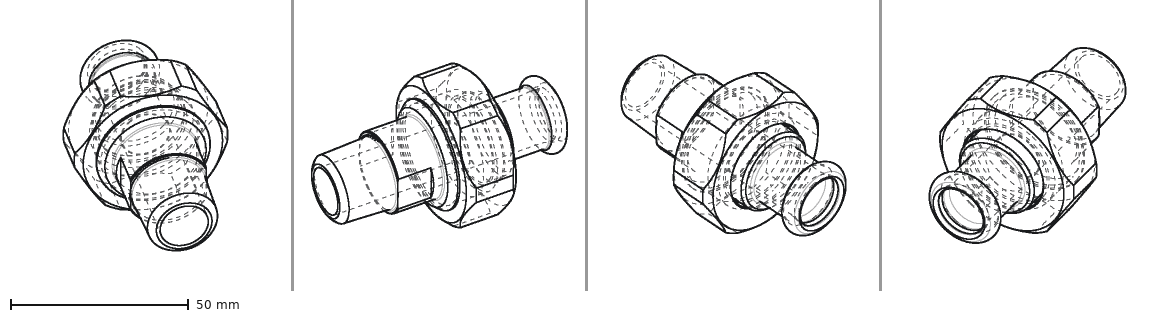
import cadquery as cq
import math

LENGTH = 73.0

NUT_START = 23.0
NUT_END = 39.05
NUT_FLATS = 41.0
NUT_CORNER_DIA = 44.7
NUT_CHAMFER = 2.05
NUT_HOLE_DIA = 26.5
NUT_HOLE_CHAMFER = 0.3
NUT_THREAD_DIA = 30.3
NUT_LIP = 3.3

JOINT_X = 30.65
TUBE_R = 18.3 / 2
BEAD_R = 11.45
BEAD_X = 3.15
BEAD_START = 0.8
BEAD_START_R = 9.85
BEAD_END = 5.55
BEAD_END_R = 9.6
BEAD_FILLET_START = 5.9
BEAD_FILLET = 0.5
COLLAR_X = 18.8
COLLAR_R = 25.0 / 2
COLLAR_CHAMFER = 0.95
ROOT_FILLET = 0.7

MOUTH_R = 7.7
LIP_DEPTH = 0.95
LIP_R = MOUTH_R + LIP_DEPTH
GROOVE_R = 8.1
GROOVE_START = 1.4
GROOVE_END = 3.15
CONE_START = 3.9
CONE_END = 6.2
PRESS_BORE_R = 14.5 / 2

TAIL_BORE_R = 14.0 / 2
FLANGE_R = 33.1 / 2
FLANGE_CHAMFER_X = 39.7
FLANGE_END = 41.9
FLANGE_FACE_R = 29.5 / 2
NECK_R = 24.5 / 2
NECK_END = 56.0
NECK_CHAMFER = 0.3
NECK_FILLET = 0.45
THREAD_START_R = 10.8
THREAD_END_X = 71.2
THREAD_END_R = 10.2
NOSE_MID_X = 72.35
NOSE_MID_R = 9.2
NOSE_R = 8.1

FLAT_START = 45.1
FLAT_DISTANCE = 11.0
FLAT_CORNER_SETBACK = 0.2


def revolve_about_x(profile):
    """Revolve a closed (X, radius) profile around the X axis."""
    return profile.close().revolve(360, (0, 0, 0), (1, 0, 0))


def cylinder(start, end, diameter):
    return cq.Workplane("YZ").workplane(offset=start).circle(diameter / 2).extrude(end - start)


def fillet_middle(x, radius, size, x_side, r_side):
    """Middle of a quarter-round in the inner corner (x, radius), on the given sides of it."""
    sag = size * (1 - math.sqrt(0.5))
    return x + x_side * sag, radius + r_side * sag


def make_nut():
    width = NUT_END - NUT_START
    hexagon = (
        cq.Workplane("YZ")
        .workplane(offset=NUT_START)
        .polygon(6, NUT_FLATS / math.cos(math.pi / 6))
        .extrude(width)
    )
    rounding = cylinder(NUT_START, NUT_END, NUT_CORNER_DIA).edges().chamfer(NUT_CHAMFER)
    lip_hole = cylinder(NUT_START, NUT_END, NUT_HOLE_DIA)
    hole_radius = NUT_HOLE_DIA / 2
    hole_chamfer = revolve_about_x(
        cq.Workplane("XY")
        .moveTo(NUT_START, 0)
        .lineTo(NUT_START, hole_radius + NUT_HOLE_CHAMFER)
        .lineTo(NUT_START + NUT_HOLE_CHAMFER, hole_radius)
        .lineTo(NUT_START + NUT_HOLE_CHAMFER, 0)
    )
    thread_hole = cylinder(NUT_START + NUT_LIP, NUT_END, NUT_THREAD_DIA)
    return hexagon.intersect(rounding).cut(lip_hole).cut(hole_chamfer).cut(thread_hole)


def make_press_end():
    shoulder_x = NUT_START + NUT_LIP
    root_middle = fillet_middle(COLLAR_X, TUBE_R, ROOT_FILLET, -1, 1)
    lip_middle = fillet_middle(0, MOUTH_R, LIP_DEPTH, 1, 1)
    profile = (
        cq.Workplane("XY")
        .moveTo(0, LIP_R)
        .lineTo(BEAD_START, BEAD_START_R)
        .threePointArc((BEAD_X, BEAD_R), (BEAD_END, BEAD_END_R))
        .lineTo(BEAD_FILLET_START, TUBE_R + BEAD_FILLET * (1 - math.sqrt(0.5)))
        .radiusArc((BEAD_FILLET_START + BEAD_FILLET * math.sqrt(0.5), TUBE_R), -BEAD_FILLET)
        .lineTo(COLLAR_X - ROOT_FILLET, TUBE_R)
        .threePointArc(root_middle, (COLLAR_X, TUBE_R + ROOT_FILLET))
        .lineTo(COLLAR_X, COLLAR_R - COLLAR_CHAMFER)
        .lineTo(COLLAR_X + COLLAR_CHAMFER, COLLAR_R)
        .lineTo(shoulder_x, COLLAR_R)
        .lineTo(shoulder_x, NUT_THREAD_DIA / 2)
        .lineTo(JOINT_X, NUT_THREAD_DIA / 2)
        .lineTo(JOINT_X, PRESS_BORE_R)
        .lineTo(CONE_END, PRESS_BORE_R)
        .lineTo(CONE_START, MOUTH_R)
        .lineTo(GROOVE_END, MOUTH_R)
        .threePointArc(((GROOVE_START + GROOVE_END) / 2, GROOVE_R), (GROOVE_START, MOUTH_R))
        .lineTo(LIP_DEPTH, MOUTH_R)
        .threePointArc(lip_middle, (0, LIP_R))
    )
    return revolve_about_x(profile)


def flat_cutter(side):
    """Block that leaves one wrench flat; its inner end is a shallow arc."""
    half_width = math.sqrt(NECK_R**2 - FLAT_DISTANCE**2)
    corner_x = FLAT_START + FLAT_CORNER_SETBACK
    outline = (
        cq.Workplane("XZ", origin=(0, side * FLAT_DISTANCE, 0))
        .moveTo(corner_x, -half_width)
        .threePointArc((FLAT_START, 0), (corner_x, half_width))
        .lineTo(NECK_END, half_width)
        .lineTo(NECK_END, -half_width)
        .close()
    )
    return outline.extrude(-side * (FLANGE_R - FLAT_DISTANCE))


def make_tail():
    flange_root = fillet_middle(FLANGE_END, NECK_R, NECK_FILLET, 1, 1)
    thread_root = fillet_middle(NECK_END, THREAD_START_R, NECK_FILLET, 1, 1)
    profile = (
        cq.Workplane("XY")
        .moveTo(JOINT_X, TAIL_BORE_R)
        .lineTo(JOINT_X, NUT_THREAD_DIA / 2)
        .lineTo(NUT_END, NUT_THREAD_DIA / 2)
        .lineTo(NUT_END, FLANGE_R)
        .lineTo(FLANGE_CHAMFER_X, FLANGE_R)
        .lineTo(FLANGE_END, FLANGE_FACE_R)
        .lineTo(FLANGE_END, NECK_R + NECK_FILLET)
        .threePointArc(flange_root, (FLANGE_END + NECK_FILLET, NECK_R))
        .lineTo(NECK_END - NECK_CHAMFER, NECK_R)
        .lineTo(NECK_END, NECK_R - NECK_CHAMFER)
        .lineTo(NECK_END, THREAD_START_R + NECK_FILLET)
        .threePointArc(thread_root, (NECK_END + NECK_FILLET, THREAD_START_R))
        .lineTo(THREAD_END_X, THREAD_END_R)
        .threePointArc((NOSE_MID_X, NOSE_MID_R), (LENGTH, NOSE_R))
        .lineTo(LENGTH, TAIL_BORE_R)
    )
    tail = revolve_about_x(profile)
    for side in (-1, 1):
        tail = tail.cut(flat_cutter(side))
    return tail


nut = make_nut()
press_end = make_press_end()
tail = make_tail()

result = cq.Compound.makeCompound([press_end.val(), nut.val(), tail.val()])